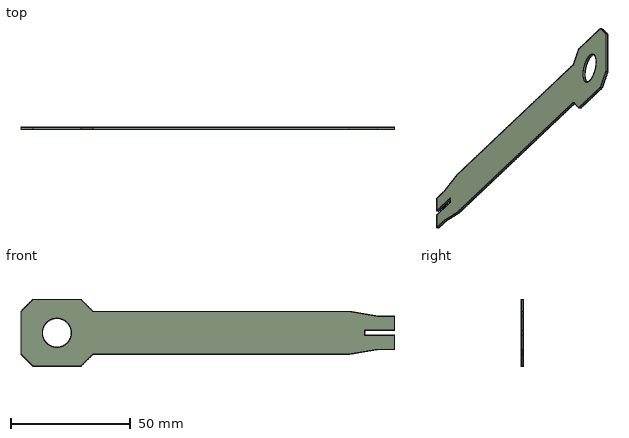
import cadquery as cq

length = 155.94
thickness = 1.0

head_width = 28.0
head_corner = 5.0
head_flat_end = 25.0
hole_diameter = 12.0
hole_x = 15.0

shank_width = head_width - 2 * head_corner
neck_x = head_flat_end + head_corner
taper_start_x = 137.0
tip_width = 14.0
tip_length = 7.1
taper_end_x = length - tip_length

slot_width = 2.0
slot_depth = 12.44


def extrude_through_thickness(sketch):
    """Extrude an XZ sketch evenly to both sides of the XZ plane."""
    return sketch.extrude(thickness / 2, both=True)


def make_blade():
    """Flat blade, symmetric about the X axis, with the head end at X = 0."""
    upper_edge = [
        (0, head_width / 2 - head_corner),
        (head_corner, head_width / 2),
        (head_flat_end, head_width / 2),
        (neck_x, shank_width / 2),
        (taper_start_x, shank_width / 2),
        (taper_end_x, tip_width / 2),
        (length, tip_width / 2),
    ]
    lower_edge = [(x, -z) for x, z in reversed(upper_edge)]
    return extrude_through_thickness(cq.Workplane("XZ").polyline(upper_edge + lower_edge).close())


def make_hole():
    """Round hole through the head."""
    return extrude_through_thickness(cq.Workplane("XZ").center(hole_x, 0).circle(hole_diameter / 2))


def make_slot():
    """Square-ended slot, open at the tip."""
    slot_center_x = length - slot_depth / 2
    return extrude_through_thickness(cq.Workplane("XZ").center(slot_center_x, 0).rect(slot_depth, slot_width))


result = make_blade().cut(make_hole()).cut(make_slot())